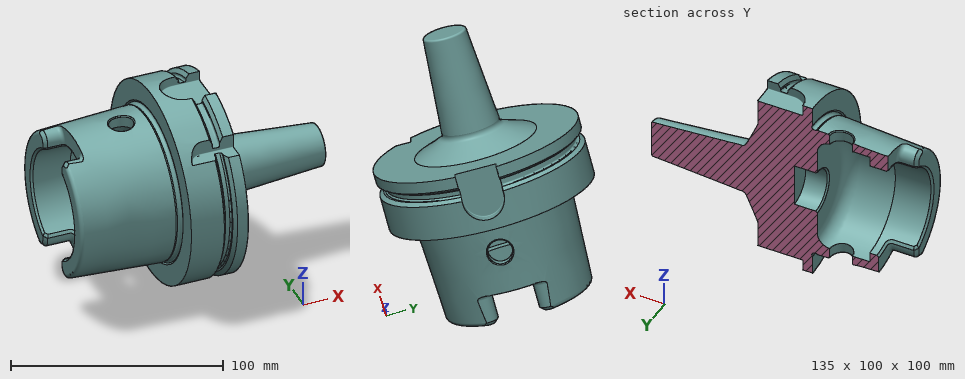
import cadquery as cq
import math


total_length = 135.0
shank_length = 50.0
flange_width = 29.0
flange_back = shank_length + flange_width

shank_end_radius = 35.5
shank_big_radius = 38.0
shank_end_round = 2.0
taper_length = 47.2
neck_radius = 37.5
neck_start = 48.0
relief_depth = 0.4
relief_inner_radius = 38.9
relief_outer_radius = 39.7

flange_radius = 100.0 / 2
groove_centre = shank_length + 20.1
groove_bottom_radius = 46.0
groove_wall_top_radius = 47.8
groove_half_mouth = 3.4
groove_half_width = 1.9
groove_corner_round = 0.8

nose_cone_radius = 29.7
nose_blend_start = 85.0
nose_blend_start_radius = 15.7
nose_blend_end = 88.3
nose_blend_end_radius = 14.0
nose_tip_radius = 10.5
nose_tip_round = 1.1

bore_radius = 26.3
bore_edge_chamfer = 1.1
undercut_start = 19.8
undercut_radius = 31.6
undercut_corner = 7.0
bore_depth = 47.4
coolant_hole_radius = 11.5
coolant_hole_depth = 12.2
coolant_hole_chamfer = 0.8

slot_half_width = 10.0
slot_shoulder_height = 32.0
slot_lip_radius = 5.0
upper_slot_depth = 10.0
lower_slot_depth = 15.0
slot_floor_round = 2.0
slot_mouth_chamfer = 1.8

cross_hole_x = 35.0
cross_hole_radius = 6.0
cross_hole_chamfer = 0.5

keyway_width = 19.8
keyway_start = shank_length + 5.3
keyway_floor = 44.0
notch_corner = 31.6
notch_end_radius = 7.5
flange_cut_round = 0.4

clearance = 13.5

tolerance = 0.01

diagonal = math.sqrt(0.5)


def revolve_about_x(profile):
    return profile.close().revolve(360, (0, 0, 0), (1, 0, 0))


def outer_body():
    taper_slope = (shank_big_radius - shank_end_radius) / taper_length
    round_end_radius = shank_end_radius + taper_slope * shank_end_round
    neck_fillet = relief_inner_radius - neck_radius
    neck_end = shank_length + relief_depth - neck_fillet
    groove_half_bottom = groove_half_width - groove_corner_round
    corner_top = groove_bottom_radius + groove_corner_round
    corner_inset = groove_corner_round * (1 - diagonal)
    tip_start = total_length - nose_tip_round
    profile = (
        cq.Workplane("XY")
        .lineTo(0, round_end_radius - shank_end_round)
        .threePointArc(
            (
                shank_end_round * (1 - diagonal),
                round_end_radius - shank_end_round * (1 - diagonal),
            ),
            (shank_end_round, round_end_radius),
        )
        .lineTo(taper_length, shank_big_radius)
        .lineTo(neck_start, neck_radius)
        .lineTo(neck_end, neck_radius)
        .threePointArc(
            (
                neck_end + neck_fillet * diagonal,
                relief_inner_radius - neck_fillet * diagonal,
            ),
            (shank_length + relief_depth, relief_inner_radius),
        )
        .lineTo(shank_length, relief_outer_radius)
        .lineTo(shank_length, flange_radius)
        .lineTo(groove_centre - groove_half_mouth, flange_radius)
        .lineTo(groove_centre - groove_half_width, groove_wall_top_radius)
        .lineTo(groove_centre - groove_half_width, corner_top)
        .threePointArc(
            (groove_centre - groove_half_width + corner_inset, groove_bottom_radius + corner_inset),
            (groove_centre - groove_half_bottom, groove_bottom_radius),
        )
        .lineTo(groove_centre + groove_half_bottom, groove_bottom_radius)
        .threePointArc(
            (groove_centre + groove_half_width - corner_inset, groove_bottom_radius + corner_inset),
            (groove_centre + groove_half_width, corner_top),
        )
        .lineTo(groove_centre + groove_half_width, groove_wall_top_radius)
        .lineTo(groove_centre + groove_half_mouth, flange_radius)
        .lineTo(flange_back, flange_radius)
        .lineTo(flange_back, nose_cone_radius)
        .lineTo(nose_blend_start, nose_blend_start_radius)
        .tangentArcPoint((nose_blend_end, nose_blend_end_radius), relative=False)
        .lineTo(tip_start, nose_tip_radius)
        .threePointArc(
            (
                tip_start + nose_tip_round * diagonal,
                nose_tip_radius - nose_tip_round * (1 - diagonal),
            ),
            (total_length, nose_tip_radius - nose_tip_round),
        )
        .lineTo(total_length, 0)
    )
    return revolve_about_x(profile)


def hollow():
    corner_start = bore_depth - undercut_corner
    floor_radius = undercut_radius - undercut_corner
    hole_end = bore_depth + coolant_hole_depth
    profile = (
        cq.Workplane("XY")
        .lineTo(0, bore_radius)
        .lineTo(undercut_start, bore_radius)
        .lineTo(undercut_start, undercut_radius)
        .lineTo(corner_start, undercut_radius)
        .threePointArc(
            (
                corner_start + undercut_corner * diagonal,
                floor_radius + undercut_corner * diagonal,
            ),
            (bore_depth, floor_radius),
        )
        .lineTo(bore_depth, coolant_hole_radius + coolant_hole_chamfer)
        .lineTo(bore_depth + coolant_hole_chamfer, coolant_hole_radius)
        .lineTo(hole_end, coolant_hole_radius)
        .lineTo(hole_end, 0)
    )
    return revolve_about_x(profile)


def slot_outline(workplane, growth):
    """Slot section with rounded lips, every wall moved outward by growth."""
    half_width = slot_half_width + growth
    shoulder = slot_shoulder_height - growth
    lip = slot_lip_radius - growth
    lip_inset = lip * (1 - diagonal)
    outside = flange_radius + clearance
    return (
        workplane.moveTo(-half_width, 0)
        .lineTo(half_width, 0)
        .lineTo(half_width, shoulder - lip)
        .threePointArc(
            (half_width + lip_inset, shoulder - lip_inset),
            (half_width + lip, shoulder),
        )
        .lineTo(outside, shoulder)
        .lineTo(outside, outside)
        .lineTo(-outside, outside)
        .lineTo(-outside, shoulder)
        .lineTo(-half_width - lip, shoulder)
        .threePointArc(
            (-half_width - lip_inset, shoulder - lip_inset),
            (-half_width, shoulder - lip),
        )
        .close()
    )


def drive_slot(depth):
    channel = slot_outline(cq.Workplane("YZ"), 0).extrude(depth)
    channel = channel.faces(">X").edges().fillet(slot_floor_round)
    mouth = slot_outline(cq.Workplane("YZ"), slot_mouth_chamfer)
    mouth = slot_outline(mouth.workplane(offset=slot_mouth_chamfer), 0).loft(ruled=True)
    return channel.union(mouth)


def keyway():
    """Round-ended keyway open towards the nose, cut down from +Z."""
    end_radius = keyway_width / 2
    length = flange_back + clearance - keyway_start
    return (
        cq.Workplane("XY", origin=(keyway_start, 0, keyway_floor))
        .rect(length, keyway_width, centered=(False, True))
        .extrude(clearance)
        .edges("|Z and <X")
        .fillet(end_radius * 0.999)
        .faces("<Z")
        .edges()
        .fillet(flange_cut_round)
    )


def corner_notch():
    """Right-angled notch on the -Y, +Z side with a milled round end."""
    length = flange_back + clearance - keyway_start
    width = flange_radius
    return (
        cq.Workplane("XY", origin=(keyway_start, -notch_corner - width, notch_corner))
        .rect(length, width, centered=False)
        .extrude(flange_radius)
        .edges("|Z and <X and >Y")
        .fillet(notch_end_radius)
        .faces("<Z")
        .edges()
        .fillet(flange_cut_round)
    )


def chamfer_bore_edge(body):
    """Break the edge of the bore where it meets the end face and the drive slots."""

    def on_open_edge(point):
        on_bore = abs(math.hypot(point.y, point.z) - bore_radius) < tolerance
        return on_bore and point.x < undercut_start - tolerance

    def borders_open_end(edge):
        return on_open_edge(edge.startPoint()) and on_open_edge(edge.endPoint())

    return body.edges().filter(borders_open_end).chamfer(bore_edge_chamfer)


def turn_to_underside(cutter):
    return cutter.rotate((0, 0, 0), (1, 0, 0), 180)


def drill_cross_hole(body):
    drill = (
        cq.Workplane("XY", origin=(cross_hole_x, 0, 0))
        .circle(cross_hole_radius)
        .extrude(flange_radius, both=True)
    )
    body = body.cut(drill)
    for side in (1, -1):
        rim = cq.selectors.NearestToPointSelector((cross_hole_x, 0, side * shank_big_radius))
        body = body.edges(rim).chamfer(cross_hole_chamfer)
    return body


result = drill_cross_hole(outer_body().cut(hollow()))
result = result.cut(drive_slot(upper_slot_depth))
result = result.cut(turn_to_underside(drive_slot(lower_slot_depth)))
result = chamfer_bore_edge(result)
result = result.cut(keyway()).cut(turn_to_underside(keyway()))
result = result.cut(corner_notch())